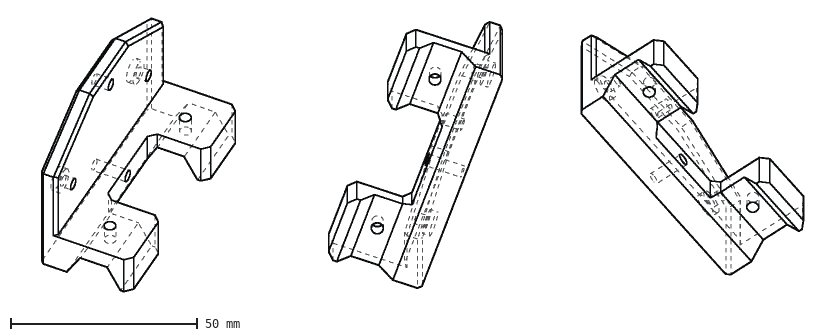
import cadquery as cq

width = 66.0
height = 46.0
plate_thickness = 5.0
shoulder_height = 34.0
top_edge_width = 22.0
edge_chamfer = 1.0

depth = 27.0
foot_height = 12.0
corner_chamfer = 2.0
notch_floor_x = 10.0
notch_width = 28.0

groove_center_x = 16.0
groove_bottom_width = 16.0
groove_top_width = 8.0
groove_height = 7.0

hole_diameter = 3.2
counterbore_diameter = 6.8
counterbore_depth = 2.0
side_hole_spacing = 46.0
side_hole_z = 23.0
center_hole_heights = (7.8, 40.0)


def make_plate():
    """Upright plate with clipped top corners, chamfered all round except at the bottom."""
    plate = (
        cq.Workplane("YZ")
        .moveTo(-width / 2, 0)
        .lineTo(width / 2, 0)
        .lineTo(width / 2, shoulder_height)
        .lineTo(top_edge_width / 2, height)
        .lineTo(-top_edge_width / 2, height)
        .lineTo(-width / 2, shoulder_height)
        .close()
        .extrude(plate_thickness)
    )
    bottom_edges = cq.selectors.BoxSelector(
        (-edge_chamfer, -width, -edge_chamfer),
        (plate_thickness + edge_chamfer, width, edge_chamfer),
    )
    face_edges = plate.faces("<X or >X").edges()
    return face_edges.edges(cq.selectors.InverseSelector(bottom_edges)).chamfer(edge_chamfer)


def make_foot():
    """Horizontal foot, notched between its tabs and grooved underneath."""
    foot_start_x = edge_chamfer
    foot = (
        cq.Workplane("XY")
        .box(depth - foot_start_x, width, foot_height, centered=(False, True, False))
        .translate((foot_start_x, 0, 0))
    )
    notch = (
        cq.Workplane("XY")
        .box(depth - notch_floor_x, notch_width, foot_height, centered=(False, True, False))
        .translate((notch_floor_x, 0, 0))
        .edges("|Z and <X")
        .chamfer(corner_chamfer)
    )
    foot = foot.cut(notch).edges("|Z and >X").chamfer(corner_chamfer)
    groove = (
        cq.Workplane("XZ")
        .moveTo(groove_center_x - groove_bottom_width / 2, 0)
        .lineTo(groove_center_x - groove_top_width / 2, groove_height)
        .lineTo(groove_center_x + groove_top_width / 2, groove_height)
        .lineTo(groove_center_x + groove_bottom_width / 2, 0)
        .close()
        .extrude(width / 2, both=True)
    )
    return foot.cut(groove)


def plate_drill(points, diameter, drill_depth):
    """Cylinders along X from the outer plate face at (y, z) points."""
    return cq.Workplane("YZ").pushPoints(points).circle(diameter / 2).extrude(drill_depth)


side_points = [(side * side_hole_spacing / 2, side_hole_z) for side in (-1, 1)]
center_points = [(0, z) for z in center_hole_heights]
tab_points = [(groove_center_x, side * side_hole_spacing / 2) for side in (-1, 1)]

tab_drills = cq.Workplane("XY").pushPoints(tab_points).circle(hole_diameter / 2).extrude(foot_height)

result = (
    make_plate()
    .union(make_foot())
    .cut(plate_drill(side_points + center_points, hole_diameter, depth))
    .cut(plate_drill(side_points, counterbore_diameter, counterbore_depth))
    .cut(tab_drills)
)